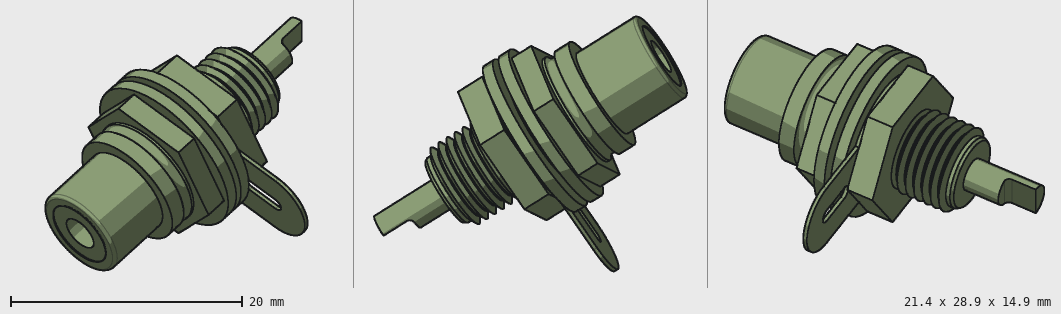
import cadquery as cq
import math

LENGTH = 28.85

BARREL_RADIUS = 4.13
BARREL_LENGTH = 6.2
BARREL_FILLET = 0.3
COLLAR_RADIUS = 5.25
GROOVE_START = 7.7
GROOVE_WIDTH = 1.0
GROOVE_DEPTH = 0.38
HEX_START = 8.97
HEX_THICKNESS = 2.02
HEX_ACROSS_FLATS = 12.1
HEX_ACROSS_CORNERS = HEX_ACROSS_FLATS / math.cos(math.pi / 6)

RECESS_RADIUS = 3.05
RECESS_DEPTH = 0.1
SOCKET_RADIUS = 1.6
SOCKET_DEPTH = BARREL_LENGTH

WASHER_DIAMETER = 14.92
WASHER_RADIUS = WASHER_DIAMETER / 2
WASHER_THICKNESS = 1.05
SHOULDER_RADIUS = 4.8
SHOULDER_LENGTH = 0.6
LUG_THICKNESS = 0.38
NUT_THICKNESS = 2.5
FRONT_WASHER_START = HEX_START + HEX_THICKNESS
SHOULDER_START = FRONT_WASHER_START + WASHER_THICKNESS
REAR_WASHER_START = SHOULDER_START + SHOULDER_LENGTH
LUG_START = REAR_WASHER_START + WASHER_THICKNESS
NUT_START = LUG_START + LUG_THICKNESS

LUG_RING_RADIUS = 6.03
LUG_TAB_WIDTH = 6.9
LUG_TAB_RADIUS = LUG_TAB_WIDTH / 2
LUG_TAB_CENTER = 10.5
LUG_SLOT_WIDTH = 1.33
LUG_SLOT_START = 7.47

RIDGE_COUNT = 9
RIDGE_WIDTH = 0.72
ROOT_FLAT = 0.11
THREAD_PITCH = RIDGE_WIDTH + ROOT_FLAT
THREAD_END = 21.78
THREAD_START = THREAD_END - RIDGE_COUNT * THREAD_PITCH
CREST_RADIUS = 3.92
ROOT_RADIUS = 3.32
SHANK_END = 22.47
SHANK_CHAMFER_LENGTH = 0.3
SHANK_CHAMFER_DEPTH = 0.17

PIN_RADIUS = 1.5
PIN_STEP = 25.96
PIN_STEP_FILLET = 0.5


def plane_at(y):
    """Plane square to the axis: local X is X, local Y is Z; a negative extrusion goes toward +Y."""
    return cq.Workplane(cq.Plane(origin=(0, y, 0), xDir=(1, 0, 0), normal=(0, -1, 0)))


def disc(radius, start, length):
    return plane_at(start).circle(radius).extrude(-length)


def hexagon(start, thickness):
    return plane_at(start).polygon(6, HEX_ACROSS_CORNERS).extrude(-thickness)


def make_barrel():
    barrel = disc(BARREL_RADIUS, 0, BARREL_LENGTH)
    return barrel.faces("<Y").edges().fillet(BARREL_FILLET)


def make_collar():
    groove_end = GROOVE_START + GROOVE_WIDTH
    groove_bottom = (COLLAR_RADIUS - GROOVE_DEPTH, GROOVE_START + GROOVE_WIDTH / 2)
    profile = (
        cq.Workplane("XY")
        .moveTo(0, BARREL_LENGTH)
        .lineTo(COLLAR_RADIUS, BARREL_LENGTH)
        .lineTo(COLLAR_RADIUS, GROOVE_START)
        .threePointArc(groove_bottom, (COLLAR_RADIUS, groove_end))
        .lineTo(COLLAR_RADIUS, HEX_START)
        .lineTo(0, HEX_START)
        .close()
    )
    return profile.revolve(360, (0, 0, 0), (0, 1, 0))


def make_shank():
    outline = [
        (0, FRONT_WASHER_START),
        (CREST_RADIUS, FRONT_WASHER_START),
        (CREST_RADIUS, THREAD_START),
    ]
    for ridge in range(RIDGE_COUNT):
        flat_start = THREAD_START + ridge * THREAD_PITCH
        ridge_start = flat_start + ROOT_FLAT
        outline.append((ROOT_RADIUS, flat_start))
        outline.append((ROOT_RADIUS, ridge_start))
        outline.append((CREST_RADIUS, ridge_start + RIDGE_WIDTH / 2))
    outline += [
        (ROOT_RADIUS, THREAD_END),
        (ROOT_RADIUS, SHANK_END - SHANK_CHAMFER_LENGTH),
        (ROOT_RADIUS - SHANK_CHAMFER_DEPTH, SHANK_END),
        (0, SHANK_END),
    ]
    return cq.Workplane("XY").polyline(outline).close().revolve(360, (0, 0, 0), (0, 1, 0))


def make_pin():
    pin = disc(PIN_RADIUS, SHANK_END, LENGTH - SHANK_END)
    relief = (
        cq.Workplane("XY")
        .box(PIN_RADIUS, LENGTH - PIN_STEP, 2 * PIN_RADIUS, centered=(False, False, True))
        .translate((0, PIN_STEP, 0))
        .edges("<X and <Y")
        .fillet(PIN_STEP_FILLET)
    )
    return pin.cut(relief)


def make_housing():
    housing = make_barrel().union(make_collar()).union(hexagon(HEX_START, HEX_THICKNESS))
    housing = housing.union(make_shank()).union(make_pin())
    recess = disc(RECESS_RADIUS, 0, RECESS_DEPTH)
    socket = disc(SOCKET_RADIUS, 0, SOCKET_DEPTH)
    return housing.cut(recess).cut(socket)


def make_washer(start):
    return disc(WASHER_RADIUS, start, WASHER_THICKNESS).cut(disc(CREST_RADIUS, start, WASHER_THICKNESS))


def make_shouldered_washer():
    shoulder = disc(SHOULDER_RADIUS, SHOULDER_START, SHOULDER_LENGTH)
    bore = disc(CREST_RADIUS, SHOULDER_START, SHOULDER_LENGTH)
    return make_washer(REAR_WASHER_START).union(shoulder.cut(bore))


def make_lug():
    ring = disc(LUG_RING_RADIUS, LUG_START, LUG_THICKNESS)
    tab_end = disc(LUG_TAB_RADIUS, LUG_START, LUG_THICKNESS).translate((LUG_TAB_CENTER, 0, 0))
    tab = (
        plane_at(LUG_START)
        .center(LUG_TAB_CENTER / 2, 0)
        .rect(LUG_TAB_CENTER, LUG_TAB_WIDTH)
        .extrude(-LUG_THICKNESS)
    )
    slot_travel = LUG_TAB_CENTER - LUG_SLOT_START
    slot = (
        plane_at(LUG_START)
        .center(LUG_SLOT_START + slot_travel / 2, 0)
        .slot2D(slot_travel + LUG_SLOT_WIDTH, LUG_SLOT_WIDTH)
        .extrude(-LUG_THICKNESS)
    )
    bore = disc(CREST_RADIUS, LUG_START, LUG_THICKNESS)
    return ring.union(tab).union(tab_end).cut(slot).cut(bore)


def make_nut():
    """Hexagon nut whose bore matches the ridges of the shank."""
    return hexagon(NUT_START, NUT_THICKNESS).cut(make_shank())


housing = make_housing()
front_washer = make_washer(FRONT_WASHER_START)
shouldered_washer = make_shouldered_washer()
lug = make_lug()
nut = make_nut()

result = cq.Compound.makeCompound(
    [housing.val(), front_washer.val(), shouldered_washer.val(), lug.val(), nut.val()]
)